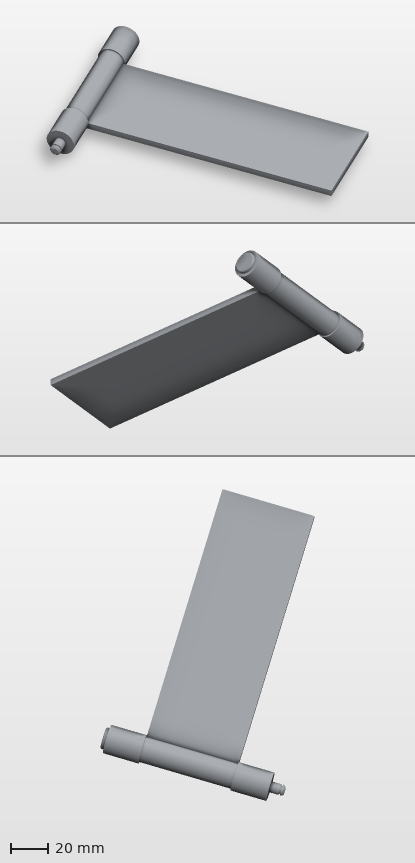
import cadquery as cq


knuckle_diameter = 16.0
knuckle_length = 20.0

overall_length = 158.0
leaf_width = 51.8
leaf_thickness = 4.0
barrel_diameter = 14.0
leaf_end = overall_length - knuckle_diameter / 2

pin_diameter = 6.0
head_diameter = 12.0
head_height = 2.0
head_chamfer = 0.5
tip_length = 8.0
tip_chamfer = 1.0
groove_diameter = 4.5
groove_width = 1.0
groove_offset = 5.4

barrel_front = -leaf_width / 2
barrel_back = leaf_width / 2
front_face = barrel_front - knuckle_length
back_face = barrel_back + knuckle_length


def revolve_about_hinge(profile):
    """Turn a closed list of (y, radius) points about the Y axis."""
    return cq.Workplane("YZ").polyline(profile).close().revolve(360, (0, 0), (1, 0))


def make_tube(y_start, length, outer_diameter):
    """Sleeve around the hinge axis, bored to fit the pin."""
    y_end = y_start + length
    bore_radius = pin_diameter / 2
    outer_radius = outer_diameter / 2
    return revolve_about_hinge([
        (y_start, bore_radius),
        (y_start, outer_radius),
        (y_end, outer_radius),
        (y_end, bore_radius),
    ])


def make_leaf():
    """Flat leaf, top face level with the hinge axis, joined to its barrel."""
    plate = cq.Workplane("XY").box(
        leaf_end, leaf_width, leaf_thickness, centered=(False, True, False)
    ).translate((0, 0, -leaf_thickness))
    pin_bore = (
        cq.Workplane("XZ", origin=(0, barrel_back, 0))
        .circle(pin_diameter / 2)
        .extrude(leaf_width)
    )
    barrel = make_tube(barrel_front, leaf_width, barrel_diameter)
    return barrel.union(plate.cut(pin_bore))


def make_pin():
    """Headed pin with a retaining groove and chamfered tip."""
    pin_radius = pin_diameter / 2
    head_radius = head_diameter / 2
    groove_radius = groove_diameter / 2
    tip_end = front_face - tip_length
    groove_back = front_face - groove_offset
    groove_front = groove_back - groove_width
    head_end = back_face + head_height
    return revolve_about_hinge([
        (tip_end, 0),
        (tip_end, pin_radius - tip_chamfer),
        (tip_end + tip_chamfer, pin_radius),
        (groove_front, pin_radius),
        (groove_front, groove_radius),
        (groove_back, groove_radius),
        (groove_back, pin_radius),
        (back_face, pin_radius),
        (back_face, head_radius),
        (head_end - head_chamfer, head_radius),
        (head_end, head_radius - head_chamfer),
        (head_end, 0),
    ])


leaf = make_leaf()
pin = make_pin()
knuckles = [
    make_tube(y_start, knuckle_length, knuckle_diameter)
    for y_start in (front_face, barrel_back)
]

result = cq.Compound.makeCompound([
    leaf.solids().val(),
    pin.val(),
    *[knuckle.val() for knuckle in knuckles],
])